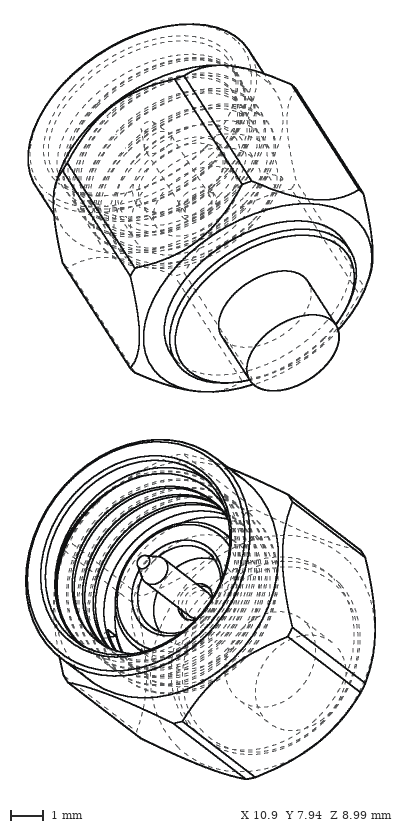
import cadquery as cq
import math

LENGTH = 10.92

COLLAR_RADIUS = 3.89
COLLAR_CHAMFER = 0.12
HEX_START = 2.01
HEX_END = 8.39
HEX_ACROSS_FLATS = 7.94
HEX_CORNER_DIAMETER = 8.99
HEX_CORNER_RADIUS = HEX_CORNER_DIAMETER / 2
HEX_BEVEL_LENGTH = 0.76

FLANGE_RADIUS = 3.18
FLANGE_END = 8.9
FLANGE_CHAMFER = 0.13
CABLE_RADIUS = 1.57

MOUTH_RADIUS = 3.2
MOUTH_CHAMFER = 0.11
LEAD_IN_START = 0.73
LEAD_IN_END = 1.09
THREAD_MINOR_RADIUS = 2.78
THREAD_MAJOR_RADIUS = 3.18
THREAD_PITCH = 0.71
THREAD_CREST = 0.15
THREAD_HALF_ANGLE = 30.0
THREAD_START = 0.3
THREAD_START_ANGLE = 199.0
THREAD_END = 3.6
MOUTH_FLOOR = 3.93

SHELL_RADIUS = 2.22
SHELL_FACE = 2.73
SHELL_BORE_RADIUS = 1.44
SHELL_CHAMFER = 0.13
PIN_CLEARANCE_RADIUS = 0.6
PIN_CLEARANCE_DEPTH = 0.22
PIN_RADIUS = 0.46
PIN_TIP_RADIUS = 0.22
PIN_TIP = 0.49
PIN_TAPER_END = 1.22


def revolve_about_x(points):
    """Revolve a closed (x, radius) outline about the X axis."""
    return cq.Workplane("XY").polyline(points).close().revolve(360, (0, 0, 0), (1, 0, 0))


def disc(start, end, radius):
    return cq.Workplane("YZ").workplane(offset=start).circle(radius).extrude(end - start)


def make_hex_nut():
    """Hexagon with corners up and down, bevelled by cones at both ends."""
    across_corners = HEX_ACROSS_FLATS / math.cos(math.radians(30))
    hexagon = (
        cq.Workplane("YZ")
        .workplane(offset=HEX_START)
        .transformed(rotate=(0, 0, 90))
        .polygon(6, across_corners)
        .extrude(HEX_END - HEX_START)
    )
    envelope = revolve_about_x([
        (HEX_START, 0),
        (HEX_START, COLLAR_RADIUS),
        (HEX_START + HEX_BEVEL_LENGTH, HEX_CORNER_RADIUS),
        (HEX_END - HEX_BEVEL_LENGTH, HEX_CORNER_RADIUS),
        (HEX_END, COLLAR_RADIUS),
        (HEX_END, 0),
    ])
    return hexagon.intersect(envelope)


def make_body():
    collar = disc(0, HEX_START, COLLAR_RADIUS).faces("<X").chamfer(COLLAR_CHAMFER)
    flange = disc(HEX_END, FLANGE_END, FLANGE_RADIUS).faces(">X").chamfer(FLANGE_CHAMFER)
    cable = disc(FLANGE_END, LENGTH, CABLE_RADIUS)
    return make_hex_nut().union(collar).union(flange).union(cable)


def make_mouth():
    """Cavity with a chamfered entry and a conical lead-in to the thread crests."""
    return revolve_about_x([
        (0, 0),
        (0, MOUTH_RADIUS + MOUTH_CHAMFER),
        (MOUTH_CHAMFER, MOUTH_RADIUS),
        (LEAD_IN_START, MOUTH_RADIUS),
        (LEAD_IN_END, THREAD_MINOR_RADIUS),
        (MOUTH_FLOOR, THREAD_MINOR_RADIUS),
        (MOUTH_FLOOR, 0),
    ])


def make_thread_groove():
    """Right-hand helical groove of trapezoidal section, stopping short of the floor."""
    overlap = 0.03
    slope = math.tan(math.radians(THREAD_HALF_ANGLE))
    crest_half_width = (THREAD_PITCH - THREAD_CREST) / 2
    depth = THREAD_MAJOR_RADIUS - THREAD_MINOR_RADIUS
    root_half_width = crest_half_width - depth * slope
    inner_half_width = crest_half_width + overlap * slope
    inner_radius = THREAD_MINOR_RADIUS - overlap
    height = THREAD_END - THREAD_START
    path = cq.Workplane(cq.Wire.makeHelix(THREAD_PITCH, height, THREAD_MINOR_RADIUS))
    groove = (
        cq.Workplane("XZ")
        .polyline([
            (inner_radius, -inner_half_width),
            (THREAD_MAJOR_RADIUS, -root_half_width),
            (THREAD_MAJOR_RADIUS, root_half_width),
            (inner_radius, inner_half_width),
        ])
        .close()
        .sweep(path, isFrenet=True)
    )
    return (
        groove.rotate((0, 0, 0), (0, 1, 0), 90)
        .rotate((0, 0, 0), (1, 0, 0), THREAD_START_ANGLE)
        .translate((THREAD_START, 0, 0))
    )


def make_shell():
    """Contact shell with both rims of its front face chamfered."""
    return revolve_about_x([
        (MOUTH_FLOOR, SHELL_BORE_RADIUS),
        (SHELL_FACE + SHELL_CHAMFER, SHELL_BORE_RADIUS),
        (SHELL_FACE, SHELL_BORE_RADIUS + SHELL_CHAMFER),
        (SHELL_FACE, SHELL_RADIUS - SHELL_CHAMFER),
        (SHELL_FACE + SHELL_CHAMFER, SHELL_RADIUS),
        (MOUTH_FLOOR, SHELL_RADIUS),
    ])


def make_pin():
    root = MOUTH_FLOOR + PIN_CLEARANCE_DEPTH
    return revolve_about_x([
        (PIN_TIP, 0),
        (PIN_TIP, PIN_TIP_RADIUS),
        (PIN_TAPER_END, PIN_RADIUS),
        (root, PIN_RADIUS),
        (root, 0),
    ])


pin_clearance = disc(MOUTH_FLOOR, MOUTH_FLOOR + PIN_CLEARANCE_DEPTH, PIN_CLEARANCE_RADIUS)

result = (
    make_body()
    .cut(make_mouth())
    .cut(make_thread_groove())
    .cut(pin_clearance)
    .union(make_shell())
    .union(make_pin())
)